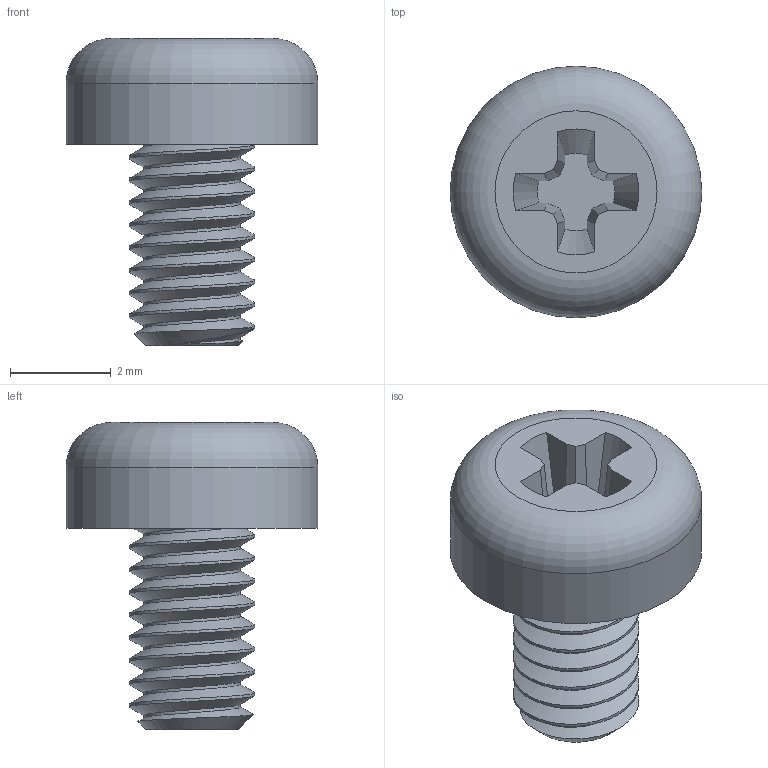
import cadquery as cq
import math

head_diameter = 5.0
head_height = 2.1
head_edge_radius = 0.89

thread_diameter = 2.5
root_diameter = 1.92
thread_pitch = 0.45
thread_angle = 60.0
shank_length = 4.0
tip_diameter = 1.84
lowest_groove_z = 0.139 - shank_length
groove_overshoot = 0.03
stock_allowance = 2.0

recess_depth = 2.0
recess_mouth = (1.25, 0.372, 0.447)
recess_floor = (0.77, 0.222, 0.325)
recess_corner_angle = 22.5


def rotate_point(point, quarter_turns):
    """Rotate an XY point about the origin by whole quarter turns."""
    x, y = point
    for _ in range(quarter_turns):
        x, y = -y, x
    return x, y


def make_head():
    head = cq.Workplane("XY").circle(head_diameter / 2).extrude(head_height)
    return head.faces(">Z").edges().fillet(head_edge_radius)


def make_groove_cutter():
    """Helical V groove with a flat root, running past both ends of the shank."""
    crest_radius = thread_diameter / 2
    root_radius = root_diameter / 2
    outer_radius = crest_radius + groove_overshoot
    half_angle_slope = math.tan(math.radians(thread_angle / 2))

    crest_flat = thread_pitch / 8
    crest_half_opening = (thread_pitch - crest_flat) / 2
    root_half_width = crest_half_opening - (crest_radius - root_radius) * half_angle_slope
    outer_half_width = crest_half_opening + groove_overshoot * half_angle_slope

    start_z = lowest_groove_z - thread_pitch
    turns = math.ceil(-start_z / thread_pitch) + 1
    helix = cq.Wire.makeHelix(thread_pitch, turns * thread_pitch, root_radius)
    profile = cq.Workplane("XZ").polyline(
        [
            (root_radius, -root_half_width),
            (outer_radius, -outer_half_width),
            (outer_radius, outer_half_width),
            (root_radius, root_half_width),
        ]
    ).close()
    cutter = profile.sweep(cq.Workplane(helix), isFrenet=True)
    return cutter.translate((0, 0, start_z))


def make_shank():
    """Cut the groove in overlong stock, then trim the stock to the shank with its chamfered tip."""
    radius = thread_diameter / 2
    stock_length = shank_length + 2 * stock_allowance
    stock = cq.Workplane("XY", origin=(0, 0, stock_allowance)).circle(radius).extrude(-stock_length)
    threaded_stock = stock.cut(make_groove_cutter())

    tip_chamfer = (thread_diameter - tip_diameter) / 2
    envelope = cq.Workplane("XY").circle(radius).extrude(-shank_length)
    envelope = envelope.faces("<Z").edges().chamfer(tip_chamfer)
    return threaded_stock.intersect(envelope)


def make_recess_outline(level, z):
    """Closed cross outline with arc arm ends and two facets in each inner corner."""
    end_radius, half_width, corner = level
    arm_length = math.sqrt(end_radius**2 - half_width**2)
    facet_start = corner + (corner - half_width) / math.tan(math.radians(recess_corner_angle))

    outline = cq.Workplane("XY", origin=(0, 0, z)).moveTo(arm_length, -half_width)
    for quarter in range(4):
        arm_tip = rotate_point((end_radius, 0), quarter)
        arm_corner = rotate_point((arm_length, half_width), quarter)
        outline = outline.threePointArc(arm_tip, arm_corner)
        corner_points = [
            (facet_start, half_width),
            (corner, corner),
            (half_width, facet_start),
            (half_width, arm_length),
        ]
        for point in corner_points:
            outline = outline.lineTo(*rotate_point(point, quarter))
    return outline.close().val()


def make_recess():
    mouth = make_recess_outline(recess_mouth, head_height)
    floor = make_recess_outline(recess_floor, head_height - recess_depth)
    return cq.Workplane(cq.Solid.makeLoft([floor, mouth], True))


result = make_head().union(make_shank()).cut(make_recess())